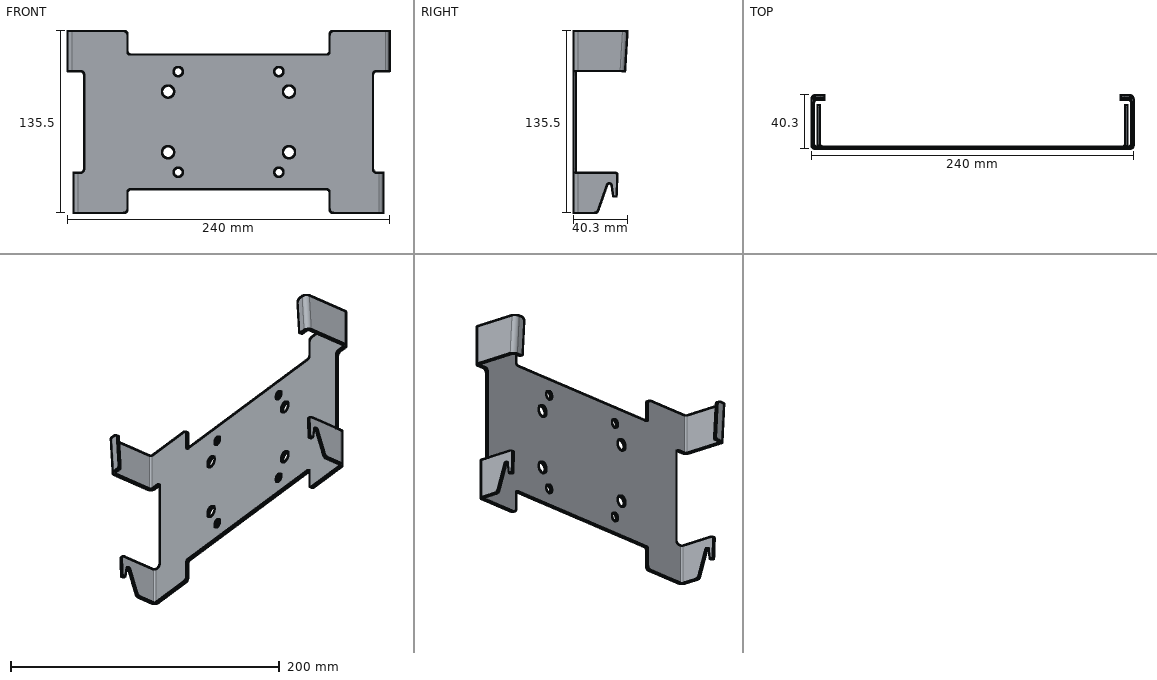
import cadquery as cq
import math

width = 240.0
depth = 40.3
height = 135.5
thickness = 2.0
bend_radius = 3.4

half_width = width / 2
half_height = height / 2
waist_half_width = 107.5
notch_half_width = 75.0
notch_depth = 17.5
notch_outer_radius = 3.0
notch_inner_radius = 2.0
waist_radius = 3.0

tab_height = 30.0
lower_half_width = 115.5
upper_tab_bottom = half_height - tab_height

lip_width = 9.8
lip_tilt = math.radians(3.5)
lip_bend_radius = 3.8
lip_top_radius = 3.0
lip_foot_radius = 1.5
lip_base_top = depth - lip_bend_radius * math.cos(lip_tilt)
lip_base_bottom = lip_base_top - tab_height * math.tan(lip_tilt)

hook_top_corner = (33.0, tab_height)
hook_tip_outer = (32.2, 12.2)
hook_tip_inner = (29.5, 12.2)
hook_notch_peak = (27.4, 27.4)
hook_foot = (17.8, 0.0)
hook_top_radius = 2.0
hook_tip_radius = 0.7
hook_notch_radius = 1.7
hook_foot_radius = 3.0

small_hole_diameter = 6.7
small_hole_spacing = (75.0, 75.0)
large_hole_diameter = 9.0
large_hole_spacing = (90.0, 45.0)


def round_corner(body, point, radius, axis):
    """Fillet the edge along the given axis that lies nearest to a point."""
    nearest = cq.selectors.NearestToPointSelector(point)
    return body.edges("|" + axis).edges(nearest).fillet(radius)


def plate_blank():
    """Flat centre plate, reaching out to the start of the tab bends."""
    def block(half_x, bottom, top):
        corner = (-half_x, 0, bottom)
        return cq.Workplane("XY").box(2 * half_x, thickness, top - bottom, centered=False).translate(corner)

    upper_half = half_width - bend_radius
    lower_half = lower_half_width - bend_radius
    body = block(waist_half_width, -half_height, half_height)
    body = body.union(block(upper_half, upper_tab_bottom, half_height))
    body = body.union(block(lower_half, -half_height, -upper_tab_bottom))

    notch = block(notch_half_width, half_height - notch_depth, half_height)
    body = body.cut(notch).cut(notch.mirror("XY"))

    mid = thickness / 2
    for side_x in (-1, 1):
        for side_z in (-1, 1):
            notch_x = side_x * notch_half_width
            corners = (
                (notch_x, half_height, notch_outer_radius),
                (notch_x, half_height - notch_depth, notch_inner_radius),
                (side_x * waist_half_width, upper_tab_bottom, waist_radius),
            )
            for x, z, radius in corners:
                body = round_corner(body, (x, mid, side_z * z), radius, "Y")
    return body


def hole_set(spacing, diameter):
    """Four holes through the plate."""
    return (
        cq.Workplane("XZ")
        .rect(*spacing, forConstruction=True)
        .vertices()
        .circle(diameter / 2)
        .extrude(-thickness)
    )


def bend(outer_x, bottom):
    """Quarter-round bend joining the plate to a side tab."""
    inner_radius = bend_radius - thickness
    return (
        cq.Workplane("XY", origin=(outer_x - bend_radius, bend_radius, bottom))
        .moveTo(0, -bend_radius)
        .radiusArc((bend_radius, 0), -bend_radius)
        .lineTo(inner_radius, 0)
        .radiusArc((0, -inner_radius), inner_radius)
        .close()
        .extrude(tab_height)
    )


def side_wall(outer_x, bottom, outline):
    """Side tab cut to a (Y, height) outline, beyond the plate bend."""
    return (
        cq.Workplane("YZ", origin=(outer_x - thickness, 0, bottom))
        .polyline(outline)
        .close()
        .extrude(thickness)
    )


def upper_lip():
    """Tilted bend and lip along the back edge of the upper tab."""
    lean_plane = cq.Plane(
        origin=(half_width, lip_base_bottom, upper_tab_bottom),
        xDir=(1, 0, 0),
        normal=(0, math.sin(lip_tilt), math.cos(lip_tilt)),
    )
    inner_radius = lip_bend_radius - thickness
    lip = (
        cq.Workplane(lean_plane)
        .radiusArc((-lip_bend_radius, lip_bend_radius), -lip_bend_radius)
        .lineTo(-lip_width, lip_bend_radius)
        .lineTo(-lip_width, inner_radius)
        .lineTo(-lip_bend_radius, inner_radius)
        .radiusArc((-thickness, 0), inner_radius)
        .close()
        .extrude(tab_height / math.cos(lip_tilt))
    )
    lip = lip.faces("<X").edges(">Z").fillet(lip_top_radius)
    return lip.faces("<X").edges("<Z").fillet(lip_foot_radius)


def upper_tab():
    outline = [
        (bend_radius, 0),
        (lip_base_bottom, 0),
        (lip_base_top, tab_height),
        (bend_radius, tab_height),
    ]
    wall = side_wall(half_width, upper_tab_bottom, outline)
    return wall.union(bend(half_width, upper_tab_bottom)).union(upper_lip())


def lower_tab():
    outline = [
        (bend_radius, 0),
        hook_foot,
        hook_notch_peak,
        hook_tip_inner,
        hook_tip_outer,
        hook_top_corner,
        (bend_radius, tab_height),
    ]
    wall = side_wall(lower_half_width, -half_height, outline)
    rounded_corners = (
        (hook_foot, hook_foot_radius),
        (hook_notch_peak, hook_notch_radius),
        (hook_tip_inner, hook_tip_radius),
        (hook_tip_outer, hook_tip_radius),
        (hook_top_corner, hook_top_radius),
    )
    mid_x = lower_half_width - thickness / 2
    for (y, z), radius in rounded_corners:
        wall = round_corner(wall, (mid_x, y, z - half_height), radius, "X")
    return wall.union(bend(lower_half_width, -half_height))


result = plate_blank()
result = result.cut(hole_set(small_hole_spacing, small_hole_diameter))
result = result.cut(hole_set(large_hole_spacing, large_hole_diameter))
for tab in (upper_tab(), lower_tab()):
    result = result.union(tab).union(tab.mirror("YZ"))